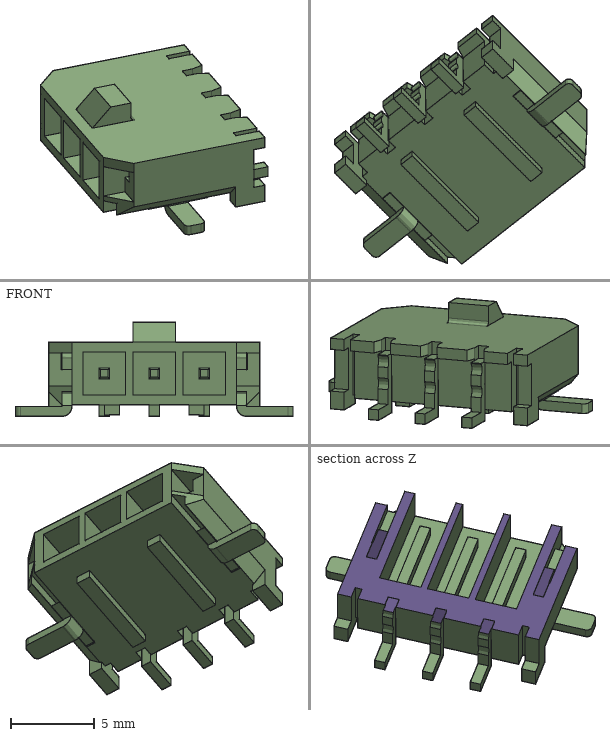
import cadquery as cq
import math


CIRCUITS = 3
PITCH = 3.0
PIN_AXIS_Z = 2.58
PIN_XS = [(i - (CIRCUITS - 1) / 2) * PITCH for i in range(CIRCUITS)]
SIDES = (-1, 1)

HALF_WIDTH = 6.33
DEPTH = 9.9
TOP_Z = 4.45
BOTTOM_Z = 0.7
MOUTH_HALF_WIDTH = 4.93
CORNER = HALF_WIDTH - MOUTH_HALF_WIDTH
EDGE_BEVEL = 0.78
BEVEL_END_Y = 8.01
FOOT_Z = 0.1

CAVITY = 2.56
CAVITY_DEPTH = 7.16
POCKET_FLOOR_Z = 1.81
POCKET_ROOF_Z = 3.81
REAR_WALL_Y = 9.19
RECESS_FLOOR_Z = 1.2
RECESS_ROOF_Z = 3.76
EAR_SLOT_INNER_X = 5.05
EAR_SLOT_OUTER_X = 5.45
EAR_SLOT_START_Y = 8.39
NOTCH_HALF_WIDTH = 0.53

LATCH_WIDTH = 2.56
LATCH_TOP_Z = 5.65
LATCH_FRONT_Y = 0.8
LATCH_BACK_Y = 3.3
LATCH_HEEL_RADIUS = 0.25
RIB_X = 2.53
RIB_WIDTH = 0.9
RIB_START_Y = 1.68
RIB_END_Y = 7.7

PIN_WIDTH = 0.65
PIN_TIP_Y = 2.0
PIN_TIP_BEVEL = 0.1
STEM_FRONT_Y = 9.14
STEM_BACK_Y = 9.79
HEAD_FRONT_Y = 8.54
HEAD_TOP_Z = 3.66
TAIL_END_Y = 11.35
SCALLOP_RADIUS = 0.52
SCALLOP_DEPTH = 0.13
SCALLOP_OFFSET = 0.68

TAB_THICKNESS = 0.6
TAB_END_X = 8.32
TAB_CENTER_Y = 4.6
TAB_TAIL_WIDTH = 1.3
TAB_TIP_RADIUS = 0.32
PLATE_LENGTH = 3.83
PLATE_BOTTOM_Z = 0.65
PLATE_SLOPE = 0.75
PLATE_SHOULDER_Z = 3.5
PLATE_TOP_RADIUS = 0.4
PLATE_INNER_X = MOUTH_HALF_WIDTH
PLATE_OUTER_X = PLATE_INNER_X + TAB_THICKNESS
CHANNEL_TOP_Z = 1.48
WINDOW_FLOOR_Z = 2.8
WINDOW_CLEARANCE = 0.05


def box(x_range, y_range, z_range):
    """Axis-aligned block spanning the three ranges."""
    lows, highs = zip(x_range, y_range, z_range)
    size = [high - low for low, high in zip(lows, highs)]
    return cq.Workplane("XY").box(*size, centered=False).translate(lows)


def side_box(side, x_range, y_range, z_range):
    """Block given by distances from the centre plane, on the chosen side."""
    near, far = sorted(side * x for x in x_range)
    return box((near, far), y_range, z_range)


def along_x(outline, x_start, width):
    """Extrude a YZ outline by width along +X from x_start."""
    return outline.extrude(width).translate((x_start, 0, 0))


def block():
    """Main block with its cut front corners, bevelled lower edges and rear feet."""
    outline = [
        (-MOUTH_HALF_WIDTH, 0),
        (MOUTH_HALF_WIDTH, 0),
        (HALF_WIDTH, CORNER),
        (HALF_WIDTH, DEPTH),
        (-HALF_WIDTH, DEPTH),
        (-HALF_WIDTH, CORNER),
    ]
    body = cq.Workplane("XY").polyline(outline).close().extrude(TOP_Z - BOTTOM_Z)
    body = body.translate((0, 0, BOTTOM_Z))
    for side in SIDES:
        bevel = [
            (side * HALF_WIDTH, BOTTOM_Z),
            (side * HALF_WIDTH, BOTTOM_Z + EDGE_BEVEL),
            (side * (HALF_WIDTH - EDGE_BEVEL), BOTTOM_Z),
        ]
        body = body.cut(cq.Workplane("XZ").polyline(bevel).close().extrude(-BEVEL_END_Y))
        foot_x = (EAR_SLOT_OUTER_X, HALF_WIDTH)
        body = body.union(side_box(side, foot_x, (BEVEL_END_Y, DEPTH), (FOOT_Z, RECESS_FLOOR_Z)))
    return body


def latch():
    """Ramped latch on the top face, with a 45 degree ramp and a concave fillet behind."""
    rise = LATCH_TOP_Z - TOP_Z
    fillet_reach = LATCH_HEEL_RADIUS * (1 - math.sqrt(0.5))
    profile = (
        cq.Workplane("YZ")
        .moveTo(LATCH_FRONT_Y, TOP_Z)
        .lineTo(LATCH_FRONT_Y + rise, LATCH_TOP_Z)
        .lineTo(LATCH_BACK_Y, LATCH_TOP_Z)
        .lineTo(LATCH_BACK_Y, TOP_Z + LATCH_HEEL_RADIUS)
        .threePointArc(
            (LATCH_BACK_Y + fillet_reach, TOP_Z + fillet_reach),
            (LATCH_BACK_Y + LATCH_HEEL_RADIUS, TOP_Z),
        )
        .close()
    )
    return along_x(profile, -LATCH_WIDTH / 2, LATCH_WIDTH)


def board_rib(side):
    """Rib under the floor that stands the housing off the board."""
    x_range = (RIB_X - RIB_WIDTH / 2, RIB_X + RIB_WIDTH / 2)
    return side_box(side, x_range, (RIB_START_Y, RIB_END_Y), (FOOT_Z, BOTTOM_Z))


def rear_recess():
    """Recess under the rear overhang: down to the feet at the sides, open below between them."""
    sides = box((-HALF_WIDTH, HALF_WIDTH), (REAR_WALL_Y, DEPTH), (RECESS_FLOOR_Z, RECESS_ROOF_Z))
    middle = box(
        (-EAR_SLOT_INNER_X, EAR_SLOT_INNER_X), (REAR_WALL_Y, DEPTH), (BOTTOM_Z, RECESS_ROOF_Z)
    )
    return sides.union(middle)


def ear_slot(side):
    """Full-height slot that parts a rear ear from the middle of the housing."""
    x_range = (EAR_SLOT_INNER_X, EAR_SLOT_OUTER_X)
    return side_box(side, x_range, (EAR_SLOT_START_Y, DEPTH), (BOTTOM_Z, TOP_Z))


def corner_pocket(side):
    """Pocket behind a cut front corner, between its roof and its lower lip."""
    return side_box(side, (MOUTH_HALF_WIDTH, HALF_WIDTH), (0, CORNER), (POCKET_FLOOR_Z, POCKET_ROOF_Z))


def tab_channels(side):
    """Lower channel and upper window that lead back to the plate of a solder tab."""
    lower = side_box(
        side, (MOUTH_HALF_WIDTH, PLATE_OUTER_X), (0, TAB_CENTER_Y), (BOTTOM_Z, CHANNEL_TOP_Z)
    )
    window = side_box(
        side,
        (MOUTH_HALF_WIDTH, PLATE_OUTER_X + WINDOW_CLEARANCE),
        (CORNER, TAB_CENTER_Y),
        (WINDOW_FLOOR_Z, POCKET_ROOF_Z),
    )
    return lower.union(window)


def pin_openings(x):
    """Mating cavity and the rear slot with its V-shaped lead-in for one pin."""
    half = CAVITY / 2
    cavity = box(
        (x - half, x + half), (0, CAVITY_DEPTH), (PIN_AXIS_Z - half, PIN_AXIS_Z + half)
    )
    slot = box(
        (x - PIN_WIDTH / 2, x + PIN_WIDTH / 2), (HEAD_FRONT_Y, DEPTH), (BOTTOM_Z, TOP_Z)
    )
    lead_in = [
        (x - NOTCH_HALF_WIDTH, DEPTH),
        (x - PIN_WIDTH / 2, REAR_WALL_Y),
        (x + PIN_WIDTH / 2, REAR_WALL_Y),
        (x + NOTCH_HALF_WIDTH, DEPTH),
    ]
    notch = cq.Workplane("XY").polyline(lead_in).close().extrude(TOP_Z - RECESS_ROOF_Z)
    return cavity.union(slot).union(notch.translate((0, 0, RECESS_ROOF_Z)))


def pin(x):
    """Right-angle pin: square prong, upright stem with two scallops behind, and tail."""
    half = PIN_WIDTH / 2
    prong_bottom = PIN_AXIS_Z - half
    prong_top = PIN_AXIS_Z + half
    outline = [
        (PIN_TIP_Y, prong_bottom),
        (STEM_FRONT_Y, prong_bottom),
        (STEM_FRONT_Y, 0),
        (TAIL_END_Y, 0),
        (TAIL_END_Y, PIN_WIDTH),
        (STEM_BACK_Y, PIN_WIDTH),
        (STEM_BACK_Y, HEAD_TOP_Z),
        (HEAD_FRONT_Y, HEAD_TOP_Z),
        (HEAD_FRONT_Y, prong_top),
        (PIN_TIP_Y, prong_top),
    ]
    body = along_x(cq.Workplane("YZ").polyline(outline).close(), x - half, PIN_WIDTH)
    scallop_y = STEM_BACK_Y + SCALLOP_RADIUS - SCALLOP_DEPTH
    for offset in (-SCALLOP_OFFSET, SCALLOP_OFFSET):
        circle = cq.Workplane("YZ").center(scallop_y, PIN_AXIS_Z + offset).circle(SCALLOP_RADIUS)
        body = body.cut(along_x(circle, x - half, PIN_WIDTH))
    return body.faces("<Y").chamfer(PIN_TIP_BEVEL)


def solder_tab(side):
    """Upright plate held in the housing, bent outward into a flat tail on the board."""
    front = TAB_CENTER_Y - PLATE_LENGTH / 2
    back = TAB_CENTER_Y + PLATE_LENGTH / 2
    slope_top = PLATE_BOTTOM_Z + PLATE_SLOPE
    plate_top = PLATE_SHOULDER_Z + PLATE_TOP_RADIUS
    outline = [
        (front, PLATE_BOTTOM_Z),
        (front + PLATE_SLOPE, slope_top),
        (front + PLATE_SLOPE, plate_top),
        (back - PLATE_SLOPE, plate_top),
        (back - PLATE_SLOPE, slope_top),
        (back, PLATE_BOTTOM_Z),
    ]
    plate_start = min(side * PLATE_INNER_X, side * PLATE_OUTER_X)
    plate = along_x(cq.Workplane("YZ").polyline(outline).close(), plate_start, TAB_THICKNESS)
    plate = plate.edges("|X and >Z").fillet(PLATE_TOP_RADIUS)

    y_range = (TAB_CENTER_Y - TAB_TAIL_WIDTH / 2, TAB_CENTER_Y + TAB_TAIL_WIDTH / 2)
    tail = side_box(side, (PLATE_OUTER_X, TAB_END_X), y_range, (0, TAB_THICKNESS))
    tip_edges = "|Z and >X" if side > 0 else "|Z and <X"
    tail = tail.edges(tip_edges).fillet(TAB_TIP_RADIUS)

    diagonal = TAB_THICKNESS * math.sqrt(0.5)
    bend = (
        cq.Workplane("XZ", origin=(0, y_range[0], 0))
        .moveTo(side * PLATE_OUTER_X, 0)
        .threePointArc(
            (side * (PLATE_OUTER_X - diagonal), TAB_THICKNESS - diagonal),
            (side * PLATE_INNER_X, TAB_THICKNESS),
        )
        .lineTo(side * PLATE_INNER_X, PLATE_BOTTOM_Z)
        .lineTo(side * PLATE_OUTER_X, PLATE_BOTTOM_Z)
        .close()
        .extrude(-TAB_TAIL_WIDTH)
    )
    return plate.union(bend).union(tail)


pins = [pin(x) for x in PIN_XS]
solder_tabs = [solder_tab(side) for side in SIDES]

housing = block().union(latch()).cut(rear_recess())
for side in SIDES:
    housing = housing.union(board_rib(side))
    housing = housing.cut(ear_slot(side)).cut(corner_pocket(side)).cut(tab_channels(side))
for x in PIN_XS:
    housing = housing.cut(pin_openings(x))
for insert in pins + solder_tabs:
    housing = housing.cut(insert)

result = cq.Compound.makeCompound([housing.val(), *[body.val() for body in pins + solder_tabs]])